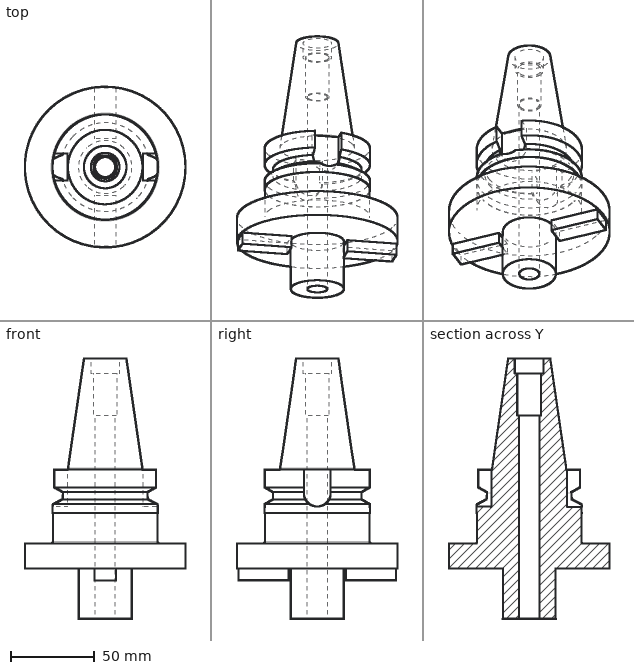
import cadquery as cq


gauge_diameter = 44.45
taper_length = 65.4
taper_ratio = 7 / 24
taper_tip_diameter = gauge_diameter - taper_length * taper_ratio
gauge_land = 1.0

grip_diameter = 63.0
groove_diameter = 53.0
groove_center_z = -16.6
groove_mouth = 10.0
groove_floor = 4.2
grip_bottom_z = -27.0

slot_width = 16.1
slot_floor_x = 22.6
slot_bottom_z = -23.0

body_diameter = 62.5
body_bottom_z = -45.0
body_fillet = 1.0
cutter_flange_diameter = 96.0
cutter_face_z = -60.0

pilot_diameter = 31.75
pilot_length = 30.0
pilot_end_z = cutter_face_z - pilot_length
key_width = 12.7
key_height = 7.0
key_inner_y = 17.0
key_outer_y = 47.0

entry_diameter = 17.0
entry_depth = 9.0
thread_diameter = 14.0
thread_depth = 34.0
through_diameter = 12.0


def turned_body():
    """Revolved outline of the taper, flanges and pilot."""
    grip_radius = grip_diameter / 2
    groove_radius = groove_diameter / 2
    body_radius = body_diameter / 2
    flange_radius = cutter_flange_diameter / 2
    outline = (
        cq.Workplane("XZ")
        .moveTo(0, taper_length)
        .lineTo(taper_tip_diameter / 2, taper_length)
        .lineTo(gauge_diameter / 2, 0)
        .lineTo(gauge_diameter / 2, -gauge_land)
        .lineTo(grip_radius, -gauge_land)
        .lineTo(grip_radius, groove_center_z + groove_mouth / 2)
        .lineTo(groove_radius, groove_center_z + groove_floor / 2)
        .lineTo(groove_radius, groove_center_z - groove_floor / 2)
        .lineTo(grip_radius, groove_center_z - groove_mouth / 2)
        .lineTo(grip_radius, grip_bottom_z)
        .lineTo(body_radius, grip_bottom_z)
        .lineTo(body_radius, body_bottom_z + body_fillet)
        .radiusArc((body_radius + body_fillet, body_bottom_z), -body_fillet)
        .lineTo(flange_radius, body_bottom_z)
        .lineTo(flange_radius, cutter_face_z)
        .lineTo(pilot_diameter / 2, cutter_face_z)
        .lineTo(pilot_diameter / 2, pilot_end_z)
        .lineTo(0, pilot_end_z)
        .close()
    )
    return outline.revolve(360, (0, 0, 0), (0, 1, 0))


def drive_slot(side):
    """Round-bottomed slot cutter on the +X (side = 1) or -X (side = -1) side."""
    slot_radius = slot_width / 2
    arc_center_z = slot_bottom_z + slot_radius
    profile = (
        cq.Workplane("YZ", origin=(side * slot_floor_x, 0, 0))
        .moveTo(-slot_radius, 0)
        .lineTo(-slot_radius, arc_center_z)
        .threePointArc((0, slot_bottom_z), (slot_radius, arc_center_z))
        .lineTo(slot_radius, 0)
        .close()
    )
    return profile.extrude(side * grip_diameter / 2)


def drive_key(side):
    """Rectangular key under the cutter face on the +Y or -Y side."""
    key_length = key_outer_y - key_inner_y
    key_center_y = side * (key_inner_y + key_outer_y) / 2
    return (
        cq.Workplane("XY", origin=(0, key_center_y, cutter_face_z))
        .rect(key_width, key_length)
        .extrude(-key_height)
    )


def bore_step(diameter, depth):
    """Cylinder running down the axis from the small end of the taper."""
    return cq.Workplane("XY", origin=(0, 0, taper_length)).circle(diameter / 2).extrude(-depth)


result = turned_body()
for side in (1, -1):
    result = result.cut(drive_slot(side))
    result = result.union(drive_key(side))

result = result.cut(bore_step(entry_diameter, entry_depth))
result = result.cut(bore_step(thread_diameter, thread_depth))
result = result.cut(bore_step(through_diameter, taper_length - pilot_end_z))